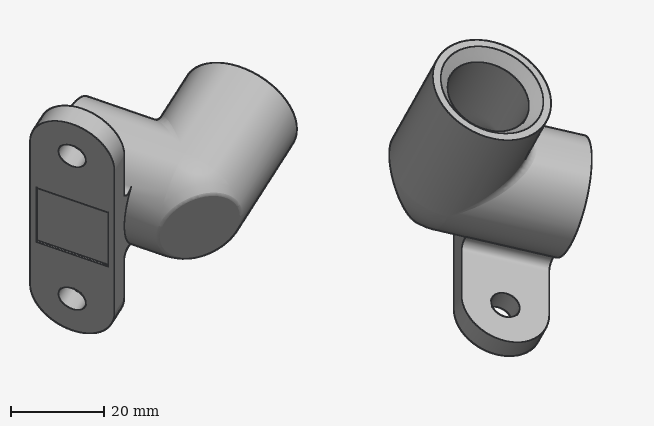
import cadquery as cq
import math

plate_height = 65.0
plate_width = 20.0
plate_thickness = 5.0
hole_diameter = 6.5
hole_spacing = 45.0
pocket_side = 17.0
pocket_depth = 0.5

tube_diameter = 27.0
bore_diameter = 18.6
mouth_bevel = 2.4
bore_bend_radius = 9.6
elbow_width = 41.5
part_depth = 46.5
crotch_radius = 2.0
facet_edge_radius = 1.0
web_fillet_radius = 2.0

tube_radius = tube_diameter / 2
bore_radius = bore_diameter / 2
corner_x = elbow_width - tube_radius
corner_y = plate_thickness + tube_radius
corner = (corner_x, corner_y, 0)
x_leg_length = corner_x
y_leg_length = part_depth - corner_y


def two_legs(radius, setback=0):
    """Two perpendicular cylinders whose inner ends stop short of the corner by setback."""
    x_leg = cq.Workplane("YZ").center(corner_y, 0).circle(radius).extrude(x_leg_length - setback)
    y_leg = (
        cq.Workplane("XZ", origin=(corner_x, part_depth, 0))
        .circle(radius)
        .extrude(y_leg_length - setback)
    )
    return x_leg.union(y_leg)


def bore():
    """Bore through both legs, joined by a smooth quarter-torus bend."""
    bend_axis = (corner_x - bore_bend_radius, corner_y + bore_bend_radius, 0)
    bend = (
        cq.Workplane("YZ", origin=bend_axis)
        .center(-bore_bend_radius, 0)
        .circle(bore_radius)
        .revolve(90, (bore_bend_radius, 0, 0), (bore_bend_radius, 1, 0))
    )
    return two_legs(bore_radius, bore_bend_radius).union(bend)


def elbow_body():
    """Outer elbow with a flat 45 degree facet across its outside corner."""
    ball = (
        cq.Workplane("XY")
        .sphere(tube_radius)
        .rotate((0, 0, 0), (1, 1, 0), 90)
        .translate(corner)
    )
    body = two_legs(tube_radius).union(ball)
    body = body.edges("%ELLIPSE").fillet(crotch_radius)
    facet_normal = cq.Vector(1, -1, 0).normalized()
    facet_distance = tube_radius / math.sqrt(2)
    facet_plane = cq.Plane(
        origin=(cq.Vector(*corner) + facet_normal * facet_distance).toTuple(),
        xDir=(0, 0, 1),
        normal=facet_normal.toTuple(),
    )
    outside_corner = cq.Workplane(facet_plane).circle(tube_radius).extrude(tube_radius)
    body = body.cut(outside_corner)
    facet = body.faces(cq.selectors.DirectionNthSelector(facet_normal, -1))
    return facet.edges().fillet(facet_edge_radius)


def mounting_plate():
    """Round-ended plate with two through holes and a shallow square pocket."""
    center_x = plate_width / 2
    plate = (
        cq.Workplane("XZ")
        .center(center_x, 0)
        .slot2D(plate_height, plate_width, 90)
        .extrude(-plate_thickness)
    )
    holes = (
        cq.Workplane("XZ")
        .center(center_x, 0)
        .pushPoints([(0, -hole_spacing / 2), (0, hole_spacing / 2)])
        .circle(hole_diameter / 2)
        .extrude(-plate_thickness)
    )
    pocket = (
        cq.Workplane("XZ")
        .center(center_x, 0)
        .rect(pocket_side, pocket_side)
        .extrude(-pocket_depth)
    )
    return plate.cut(holes).cut(pocket)


def web():
    """Web between plate and tube, with sides that are arcs tangent to both."""
    arc_y = plate_thickness + web_fillet_radius
    arc_z = 2 * math.sqrt(tube_radius * web_fillet_radius)
    block = (
        cq.Workplane("YZ")
        .moveTo(plate_thickness / 2, -arc_z)
        .lineTo(arc_y, -arc_z)
        .lineTo(corner_y, 0)
        .lineTo(arc_y, arc_z)
        .lineTo(plate_thickness / 2, arc_z)
        .close()
        .extrude(plate_width)
    )
    side_arcs = (
        cq.Workplane("YZ")
        .pushPoints([(arc_y, -arc_z), (arc_y, arc_z)])
        .circle(web_fillet_radius)
        .extrude(plate_width)
    )
    return block.cut(side_arcs)


def mouth_cone():
    """Conical bevel opening the bore outward, with its axis along +Z."""
    return cq.Workplane("XY").add(
        cq.Solid.makeCone(bore_radius + mouth_bevel, bore_radius, mouth_bevel)
    )


x_mouth = mouth_cone().rotate((0, 0, 0), (0, 1, 0), 90).translate((0, corner_y, 0))
y_mouth = mouth_cone().rotate((0, 0, 0), (1, 0, 0), 90).translate((corner_x, part_depth, 0))

result = elbow_body().union(web()).union(mounting_plate())
result = result.cut(bore()).cut(x_mouth).cut(y_mouth)